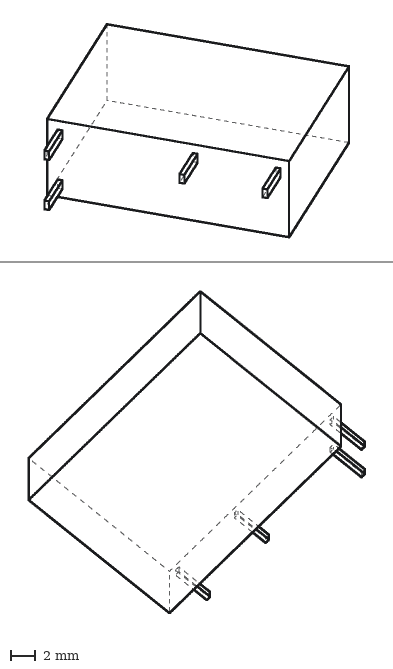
import cadquery as cq

body_width = 20.5
body_depth = 15.3
body_height = 7.2

pin_width = 0.4
pin_height = 0.82
pin_length = 3.4

left_pin_x = 1.1
middle_pin_x = 12.55
right_pin_x = 19.58
lower_pin_z = 1.25
upper_pin_z = 5.97

pin_centres = [
    (left_pin_x, lower_pin_z),
    (left_pin_x, upper_pin_z),
    (middle_pin_x, upper_pin_z),
    (right_pin_x, upper_pin_z),
]


def make_body():
    """Housing with its lower left corner at the origin and its pin face on Y = 0."""
    return cq.Workplane("XY").box(body_width, body_depth, body_height, centered=False)


def make_pins():
    """Rectangular pins running from the housing face towards -Y."""
    return (
        cq.Workplane("XZ")
        .pushPoints(pin_centres)
        .rect(pin_width, pin_height)
        .extrude(pin_length)
    )


result = make_body().union(make_pins())